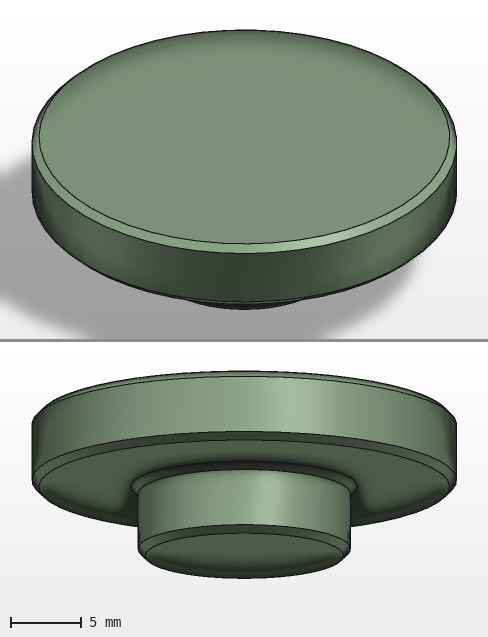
import cadquery as cq

disc_diameter = 30.0
boss_diameter = disc_diameter / 2
disc_height = disc_diameter / 6
boss_height = disc_height
bevel = disc_height / 10

disc_radius = disc_diameter / 2
boss_radius = boss_diameter / 2
total_height = boss_height + disc_height

half_profile = [
    (0, 0),
    (boss_radius - bevel, 0),
    (boss_radius, bevel),
    (boss_radius, boss_height - bevel),
    (boss_radius + bevel, boss_height),
    (disc_radius - bevel, boss_height),
    (disc_radius, boss_height + bevel),
    (disc_radius, total_height - bevel),
    (disc_radius - bevel, total_height),
    (0, total_height),
]

result = (
    cq.Workplane("XZ")
    .polyline(half_profile)
    .close()
    .revolve(360, (0, 0, 0), (0, 1, 0))
)